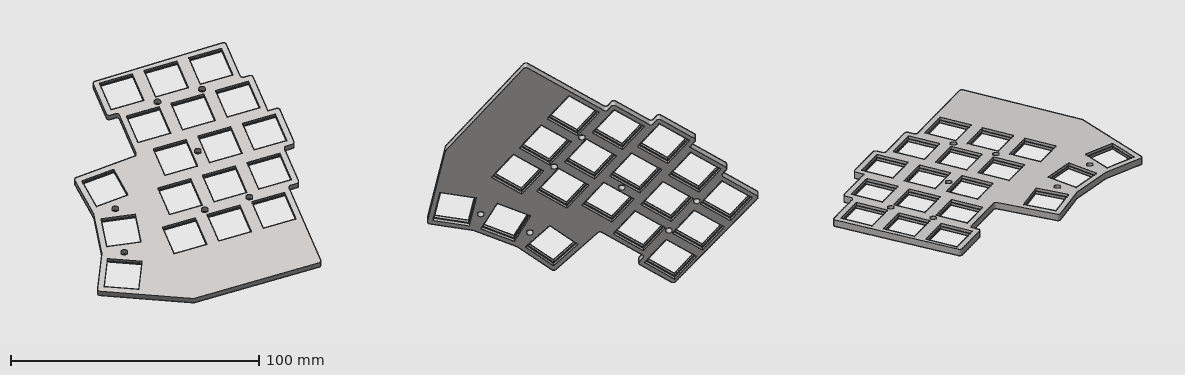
import cadquery as cq
import math

COLUMN_COUNT = 5
ROW_COUNT = 3
GRID_WIDTH = 76.2
PITCH = GRID_WIDTH / (COLUMN_COUNT - 1)
STAGGER = PITCH / 4
KEY_OPENING = 14.0
UNDERCUT = 0.5

LENGTH = 116.5
THICKNESS = 3.0
CORNER_RADIUS = 1.2
LEFT_EDGE_DRIFT = 1.0

THUMB_KEYS = [
    (4.9, -50.9, 5),
    (27.0, -51.8, -10),
    (47.8, -58.4, -25),
]

HOLE_DIAMETER = 2.7
THUMB_HOLES = [(16.1, -50.4), (37.7, -54.3)]

HALF_CELL = PITCH / 2
GRID_TOP = ROW_COUNT * HALF_CELL
LEFT = -COLUMN_COUNT * HALF_CELL
RIGHT = LEFT + LENGTH
UNDERCUT_HEIGHT = THICKNESS / 2
INNER_STEP = HALF_CELL
OUTER_STEP = 3 * HALF_CELL


def thumb_point(key, along, across):
    """Point given in the rotated frame of a thumb key."""
    x, y, degrees = key
    angle = math.radians(degrees)
    return (
        x + along * math.cos(angle) - across * math.sin(angle),
        y + along * math.sin(angle) + across * math.cos(angle),
    )


def bottom_junction(left_key, right_key):
    """Point where the bottom edges of two neighbouring thumb cells meet."""
    x1, y1 = thumb_point(left_key, 0, -HALF_CELL)
    x2, y2 = thumb_point(right_key, 0, -HALF_CELL)
    slope1 = math.tan(math.radians(left_key[2]))
    slope2 = math.tan(math.radians(right_key[2]))
    x = (y2 - y1 + slope1 * x1 - slope2 * x2) / (slope1 - slope2)
    return (x, y1 + slope1 * (x - x1))


def make_plate():
    first, middle, last = THUMB_KEYS
    lean_first = math.tan(math.radians(first[2]))
    lean_last = math.tan(math.radians(last[2]))
    step_top = GRID_TOP - STAGGER
    side_top = GRID_TOP - 2 * STAGGER
    ledge = -GRID_TOP - STAGGER
    bottom = -GRID_TOP - 2 * STAGGER

    thumb_left = thumb_point(first, -HALF_CELL, -HALF_CELL)
    thumb_right = thumb_point(last, HALF_CELL, -HALF_CELL)
    ledge_end = (thumb_left[0] - (ledge - thumb_left[1]) * lean_first, ledge)
    right_bend = (RIGHT, thumb_right[1] - (RIGHT - thumb_right[0]) / lean_last)

    sharp_corner = (-INNER_STEP, step_top)

    outline = [
        (LEFT, side_top),
        (-OUTER_STEP, side_top),
        (-OUTER_STEP, step_top),
        sharp_corner,
        (-INNER_STEP, GRID_TOP),
        (INNER_STEP, GRID_TOP),
        (INNER_STEP, step_top),
        (OUTER_STEP, step_top),
        (OUTER_STEP, side_top),
        (RIGHT, side_top),
        right_bend,
        thumb_right,
        bottom_junction(middle, last),
        bottom_junction(first, middle),
        thumb_left,
        ledge_end,
        (-OUTER_STEP, ledge),
        (-OUTER_STEP, bottom),
        (LEFT + LEFT_EDGE_DRIFT, bottom),
    ]
    plate = cq.Workplane("XY").polyline(outline).close().extrude(THICKNESS)

    x, y = sharp_corner
    around_sharp_corner = cq.selectors.BoxSelector(
        (x - CORNER_RADIUS, y - CORNER_RADIUS, 0),
        (x + CORNER_RADIUS, y + CORNER_RADIUS, THICKNESS),
    )
    upright_edges = cq.selectors.ParallelDirSelector(cq.Vector(0, 0, 1))
    return plate.edges(upright_edges - around_sharp_corner).fillet(CORNER_RADIUS)


def key_cutter(x, y, degrees=0):
    """Through opening, widened below by an undercut for the key's clips."""
    wide = KEY_OPENING + 2 * UNDERCUT
    opening = cq.Workplane("XY").rect(KEY_OPENING, KEY_OPENING).extrude(THICKNESS)
    recess = cq.Workplane("XY").rect(wide, wide).extrude(UNDERCUT_HEIGHT)
    cutter = opening.union(recess)
    return cutter.rotate((0, 0, 0), (0, 0, 1), degrees).translate((x, y, 0))


def cut_keys(plate):
    for column in range(COLUMN_COUNT):
        offset = column - COLUMN_COUNT // 2
        for row in range(ROW_COUNT):
            y = (row - ROW_COUNT // 2) * PITCH - abs(offset) * STAGGER
            plate = plate.cut(key_cutter(offset * PITCH, y))
    for x, y, degrees in THUMB_KEYS:
        plate = plate.cut(key_cutter(x, y, degrees))
    return plate


def cut_screw_holes(plate):
    centers = [(0, -HALF_CELL)] + THUMB_HOLES
    upper_hole = STAGGER / 2
    for x in (-OUTER_STEP, OUTER_STEP):
        centers += [(x, upper_hole), (x, upper_hole - PITCH)]
    holes = cq.Workplane("XY").pushPoints(centers).circle(HOLE_DIAMETER / 2).extrude(THICKNESS)
    return plate.cut(holes)


result = cut_screw_holes(cut_keys(make_plate()))